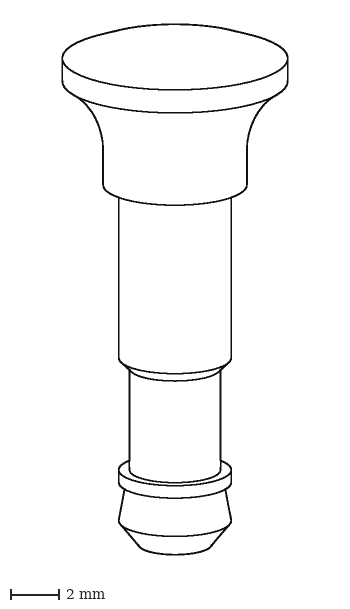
import cadquery as cq
import math

overall_length = 22.1
dome_height = 1.0
rim_height = 1.0
flare_height = 3.0
collar_height = 1.5
shank_length = 7.5
ring_height = 0.54
barb_height = 1.66
tip_height = 1.04

head_diameter = 9.4
collar_diameter = 6.0
shank_diameter = 4.7
neck_diameter = 3.8
barb_root_diameter = 4.1
tip_diameter = 3.05

head_radius = head_diameter / 2
collar_radius = collar_diameter / 2
shank_radius = shank_diameter / 2
neck_radius = neck_diameter / 2
barb_root_radius = barb_root_diameter / 2
tip_radius = tip_diameter / 2

shank_chamfer = shank_radius - neck_radius

barb_bottom_z = tip_height
ring_bottom_z = barb_bottom_z + barb_height
ring_top_z = ring_bottom_z + ring_height
rim_top_z = overall_length - dome_height
rim_bottom_z = rim_top_z - rim_height
flare_bottom_z = rim_bottom_z - flare_height
collar_bottom_z = flare_bottom_z - collar_height
shank_bottom_z = collar_bottom_z - shank_length
neck_top_z = shank_bottom_z - shank_chamfer

flare_overhang = head_radius - collar_radius
flare_arc_radius = (flare_height**2 + flare_overhang**2) / (2 * flare_overhang)
flare_mid_angle = math.asin(flare_height / flare_arc_radius) / 2
flare_mid_point = (
    collar_radius + flare_arc_radius * (1 - math.cos(flare_mid_angle)),
    flare_bottom_z + flare_arc_radius * math.sin(flare_mid_angle),
)

dome_sphere_radius = (head_radius**2 + dome_height**2) / (2 * dome_height)
dome_mid_angle = math.asin(head_radius / dome_sphere_radius) / 2
dome_mid_point = (
    dome_sphere_radius * math.sin(dome_mid_angle),
    overall_length - dome_sphere_radius * (1 - math.cos(dome_mid_angle)),
)


def half_profile():
    """Radius-against-Z outline of the pin, closed along its axis."""
    return (
        cq.Workplane("XZ")
        .moveTo(0, 0)
        .lineTo(tip_radius, 0)
        .lineTo(shank_radius, barb_bottom_z)
        .lineTo(barb_root_radius, ring_bottom_z)
        .lineTo(shank_radius, ring_bottom_z)
        .lineTo(shank_radius, ring_top_z)
        .lineTo(neck_radius, ring_top_z)
        .lineTo(neck_radius, neck_top_z)
        .lineTo(shank_radius, shank_bottom_z)
        .lineTo(shank_radius, collar_bottom_z)
        .lineTo(collar_radius, collar_bottom_z)
        .lineTo(collar_radius, flare_bottom_z)
        .threePointArc(flare_mid_point, (head_radius, rim_bottom_z))
        .lineTo(head_radius, rim_top_z)
        .threePointArc(dome_mid_point, (0, overall_length))
        .close()
    )


result = half_profile().revolve(360, (0, 0, 0), (0, 1, 0))